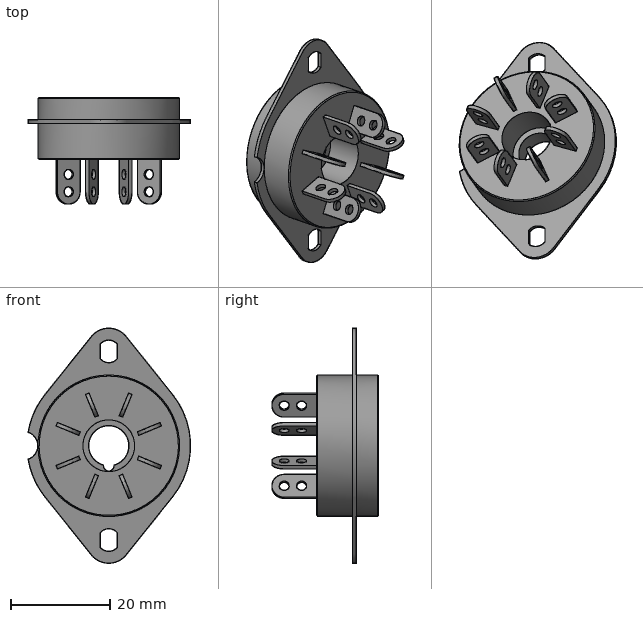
import cadquery as cq
import math

body_diameter = 28.5
body_length = 12.5
body_chamfer = 0.25
bore_diameter = 10.4
shoulder_diameter = 8.05
key_diameter = 2.1
key_offset = 4.05

flange_thickness = 0.8
flange_setback = 4.5
flange_radius = 16.5
ear_radius = 4.5
flange_height = 47.35
ear_offset = flange_height / 2 - ear_radius
slot_diameter = 4.5
slot_width = 3.4
slot_offset = 19.0
notch_radius = 2.85
notch_offset = 17.15

tab_count = 8
tab_length = 9.0
tab_width = 4.97
tab_thickness = 0.75
tab_center_radius = 8.85
tab_hole_count = 2
tab_hole_diameter = 2.0
tab_hole_spacing = 3.5
tab_root = 0.47

front_y = -body_length
flange_front_y = -flange_setback - flange_thickness
tab_angle_step = 360 / tab_count


def cylinder(diameter, y_front, length, x=0.0, z=0.0):
    """Cylinder running toward +Y from y_front."""
    base = cq.Vector(x, y_front, z)
    return cq.Workplane(cq.Solid.makeCylinder(diameter / 2, length, base, cq.Vector(0, 1, 0)))


def make_body():
    return cylinder(body_diameter, front_y, body_length).edges().chamfer(body_chamfer)


def make_flange():
    normal_z = (flange_radius - ear_radius) / ear_offset
    normal_x = math.sqrt(1 - normal_z**2)
    disc_x, disc_z = flange_radius * normal_x, flange_radius * normal_z
    ear_x, ear_z = ear_radius * normal_x, ear_offset + ear_radius * normal_z
    plane = cq.Plane(origin=(0, flange_front_y, 0), xDir=(1, 0, 0), normal=(0, -1, 0))
    flange = (
        cq.Workplane(plane)
        .moveTo(disc_x, -disc_z)
        .threePointArc((flange_radius, 0), (disc_x, disc_z))
        .lineTo(ear_x, ear_z)
        .threePointArc((0, flange_height / 2), (-ear_x, ear_z))
        .lineTo(-disc_x, disc_z)
        .threePointArc((-flange_radius, 0), (-disc_x, -disc_z))
        .lineTo(-ear_x, -ear_z)
        .threePointArc((0, -flange_height / 2), (ear_x, -ear_z))
        .close()
        .extrude(-flange_thickness)
    )
    for side in (-1, 1):
        flange = flange.cut(make_slot(side * slot_offset))
    return flange.cut(cylinder(2 * notch_radius, flange_front_y, flange_thickness, x=-notch_offset))


def make_slot(z):
    """Mounting hole with two flat sides."""
    flats = cq.Workplane("XY").box(slot_width, flange_thickness, slot_diameter)
    flats = flats.translate((0, flange_front_y + flange_thickness / 2, z))
    return cylinder(slot_diameter, flange_front_y, flange_thickness, z=z).intersect(flats)


def make_bore():
    """Wide bore down to a shoulder, then a narrower hole with a key groove at its bottom."""
    wide = cylinder(bore_diameter, front_y, body_length - flange_setback)
    narrow = cylinder(shoulder_diameter, front_y, body_length)
    key = cylinder(key_diameter, front_y, body_length, z=-key_offset)
    return wide.union(narrow).union(key)


def make_tab(angle):
    """Round-ended tab in a radial plane, with two holes along its length."""
    tip_center_y = front_y - tab_length + tab_width / 2
    root_y = front_y + tab_root
    tab = (
        cq.Workplane("XY")
        .workplane(offset=-tab_thickness / 2)
        .center(tab_center_radius, tip_center_y)
        .moveTo(-tab_width / 2, 0)
        .threePointArc((0, -tab_width / 2), (tab_width / 2, 0))
        .lineTo(tab_width / 2, root_y - tip_center_y)
        .lineTo(-tab_width / 2, root_y - tip_center_y)
        .close()
        .extrude(tab_thickness)
    )
    hole_centers = [
        (tab_center_radius, tip_center_y + i * tab_hole_spacing)
        for i in range(tab_hole_count)
    ]
    holes = (
        cq.Workplane("XY")
        .workplane(offset=-tab_thickness / 2)
        .pushPoints(hole_centers)
        .circle(tab_hole_diameter / 2)
        .extrude(tab_thickness)
    )
    return tab.cut(holes).rotate((0, 0, 0), (0, 1, 0), angle)


result = make_body().union(make_flange()).cut(make_bore())
for index in range(tab_count):
    result = result.union(make_tab((index + 0.5) * tab_angle_step))